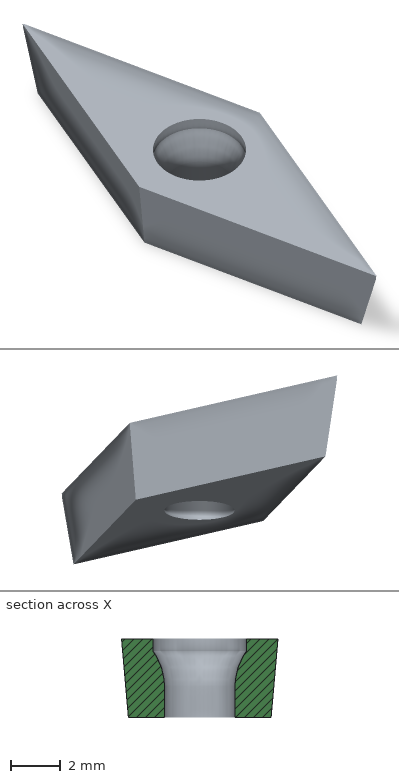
import cadquery as cq
import math

length = 20.0
width = 6.35
thickness = 3.18
point_angle = 35.0
relief_angle = 5.0

mouth_diameter = 3.76
bore_diameter = 2.85
mouth_depth = 0.5
seat_radius = 2.35


def rhombus(half_width):
    """Corners of the sharp rhombus, centred on the hole axis."""
    side = 2 * half_width / math.sin(math.radians(point_angle))
    lean = 2 * half_width / math.tan(math.radians(point_angle))
    tip = (side + lean) / 2
    return [
        (-tip, -half_width),
        (side - tip, -half_width),
        (tip, half_width),
        (tip - side, half_width),
    ]


inset = thickness * math.tan(math.radians(relief_angle))
body = (
    cq.Workplane("XY")
    .polyline(rhombus(width / 2 - inset))
    .close()
    .workplane(offset=thickness)
    .polyline(rhombus(width / 2))
    .close()
    .loft(ruled=True)
)

envelope = cq.Workplane("XY").box(length, width, thickness, centered=(True, True, False))
body = body.intersect(envelope)

mouth_radius = mouth_diameter / 2
bore_radius = bore_diameter / 2
flare_angle = math.acos(1 - (mouth_radius - bore_radius) / seat_radius)
seat_top = thickness - mouth_depth
seat_bottom = seat_top - seat_radius * math.sin(flare_angle)
seat_middle = (
    bore_radius + seat_radius * (1 - math.cos(flare_angle / 2)),
    seat_bottom + seat_radius * math.sin(flare_angle / 2),
)
screw_hole = (
    cq.Workplane("XZ")
    .lineTo(bore_radius, 0)
    .lineTo(bore_radius, seat_bottom)
    .threePointArc(seat_middle, (mouth_radius, seat_top))
    .lineTo(mouth_radius, thickness)
    .lineTo(0, thickness)
    .close()
    .revolve(360, (0, 0, 0), (0, 1, 0))
)

result = body.cut(screw_hole)